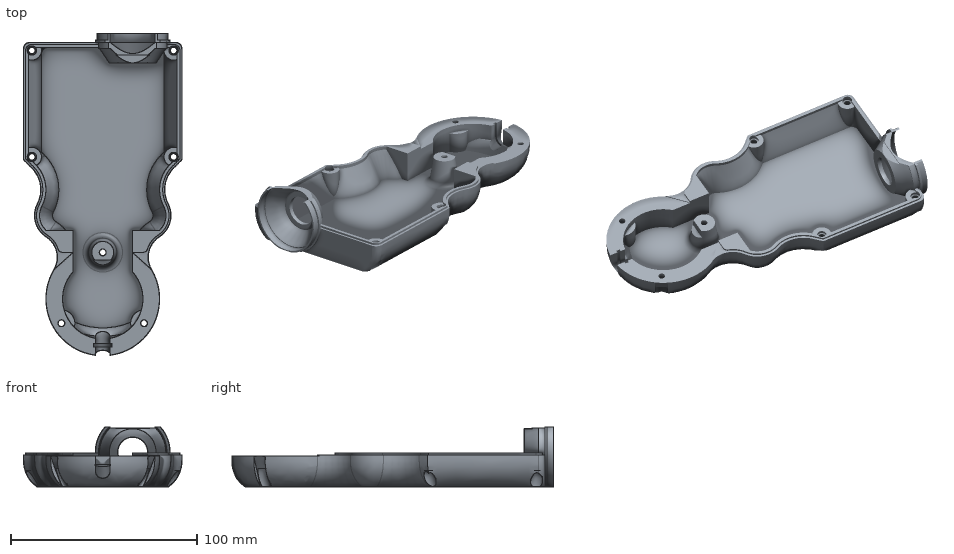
import cadquery as cq
import math

PARTING_Z = 17.2
LIP_HEIGHT = 1.1
LIP_Z = PARTING_Z + LIP_HEIGHT
NOSE_Z = 16.7
FLOOR_Z = 2.0
OVERCUT = 5.0

HALF_WIDTH = 42.6
BACK_Y = 137.9
CORNER_R = 3.5
NOSE_R = 30.6
NECK_R = 13.0
NECK_Y = 22.4
BUMP_R = 13.6
BUMP_X = 23.1
WAIST_R = 16.5
WAIST_X = 49.8

NECK_X = math.sqrt((NOSE_R + NECK_R) ** 2 - NECK_Y ** 2)
BUMP_Y = NECK_Y + math.sqrt((NECK_R + BUMP_R) ** 2 - (NECK_X - BUMP_X) ** 2)
WAIST_Y = BUMP_Y + math.sqrt((BUMP_R + WAIST_R) ** 2 - (WAIST_X - BUMP_X) ** 2)

BASE_INSET = 7.5
CURVE_TOP_Z = 14.0
CURVE_R = (CURVE_TOP_Z ** 2 + BASE_INSET ** 2) / (2 * BASE_INSET)
WALL_STEPS = 4

RIM_WIDTH = 2.75
LIP_SETBACK = 1.1
CAVITY_BASE_INSET = 9.7
CAVITY_BEND_Z = 16.5
CAVITY_FRONT_Y = 36.7
CHANNEL_HALF_WIDTH = 15.9
NOSE_POCKET_R = 21.6
LIP_FRONT_Y = 25.0
LIP_END_R = 2.5
RAMP_R = 39.0
RAMP_FOOT_Y = -15.6
RAMP_RUN = 4.5
RAMP_RISE = 6.0

SCREW_D = 3.5
SCREW_HEAD_D = 6.5
BOX_SCREW_X = 38.1
BOX_SCREW_YS = (76.3, 133.5)
BOX_HEAD_Z = 8.9
BOX_BOSS_R = 5.2
BOX_RECESS_D = 5.0
BOX_RECESS_DEPTH = 1.5
NOSE_SCREW_X = 22.2
NOSE_SCREW_Y = -13.1
NOSE_HEAD_Z = 9.8
NOSE_FLAT_BASE_R = 23.5
NOSE_FLAT_WIDTH = 7.0
NOSE_BOSS_R = 7.2
NOSE_BOSS_Z = 13.0

POST_Y = 25.0
POST_TOP_Z = 16.7
POST_TOP_R = 5.9
POST_BASE_R = 7.6
POST_FOOT_R = 11.0
POST_FOOT_HEIGHT = 3.0
POST_FLAT_Y = 20.9
POST_FLAT_Z = 12.1
POST_FLAT_OUTER_Z = 10.5

SLOT_R = 3.9
SLOT_Z = 8.5
SLOT_GROOVE_R = 5.1
SLOT_GROOVE_YS = (-25.9, -23.9)

SOCKET_X = 16.1
SOCKET_Z = 18.7
SOCKET_BACK_Y = 142.7
SOCKET_FRONT_Y = 126.8
COLLAR_R = 19.1
FLANGE_R = 20.1
FLANGE_THICKNESS = 1.2
SOCKET_NECK_R = 18.4
SOCKET_NECK_FRONT_Y = 134.6
CONE_BACK_R = 17.8
SOCKET_FACE_R = 12.55
BORE_R = 18.2
BOWL_BACK_R = 17.8
BOWL_FRONT_R = 11.0
BOWL_FRONT_Y = 129.2
CABLE_HOLE_R = 8.0
COLLAR_TOP_Z = 32.3
NECK_TOP_Z = 31.8
FACE_TOP_Z = 31.3
FACE_STEP_Y = 131.1


def between(center_a, radius_a, center_b, radius_b):
    """Touching point of two circles that are tangent from outside."""
    share = radius_a / (radius_a + radius_b)
    return tuple(a + (b - a) * share for a, b in zip(center_a, center_b))


def on_circle(center, radius, degrees):
    angle = math.radians(degrees)
    return (center[0] + radius * math.cos(angle), center[1] + radius * math.sin(angle))


def outline(z, inset, back_y):
    """Closed plan outline at height z, its sides moved in by inset and its back at back_y."""
    neck = (NECK_X, NECK_Y)
    bump = (BUMP_X, BUMP_Y)
    waist = (WAIST_X, WAIST_Y)
    nose_r = NOSE_R - inset
    neck_r = NECK_R + inset
    bump_r = BUMP_R - inset
    waist_r = WAIST_R + inset
    side_x = HALF_WIDTH - inset

    nose_end = between((0, 0), nose_r, neck, neck_r)
    bump_start = between(neck, neck_r, bump, bump_r)
    bump_end = between(bump, bump_r, waist, waist_r)
    waist_end = on_circle(waist, waist_r, 135)
    shoulder = (side_x, waist_end[1] + side_x - waist_end[0])
    corner = (side_x - CORNER_R, back_y - CORNER_R)

    right = [
        ("arc", on_circle(neck, neck_r, 180), bump_start),
        ("arc", on_circle(bump, bump_r, 0), bump_end),
        ("arc", on_circle(waist, waist_r, 180), waist_end),
        ("line", None, shoulder),
        ("line", None, (side_x, corner[1])),
        ("arc", on_circle(corner, CORNER_R, 45), (corner[0], back_y)),
    ]

    path = cq.Workplane("XY", origin=(0, 0, z)).moveTo(*nose_end)
    for kind, middle, end in right:
        path = path.threePointArc(middle, end) if kind == "arc" else path.lineTo(*end)
    path = path.lineTo(-corner[0], back_y)
    starts = [nose_end] + [end for _, _, end in right[:-1]]
    for (kind, middle, _), start in zip(reversed(right), reversed(starts)):
        target = (-start[0], start[1])
        if kind == "arc":
            path = path.threePointArc((-middle[0], middle[1]), target)
        else:
            path = path.lineTo(*target)
    return path.threePointArc((0, -nose_r), nose_end).close()


def loft(sections, ruled):
    wires = [section.wire().val() for section in sections]
    return cq.Workplane(cq.Solid.makeLoft(wires, ruled))


def block(x0, x1, y0, y1, z0, z1):
    return cq.Workplane("XY").box(x1 - x0, y1 - y0, z1 - z0, centered=False).translate((x0, y0, z0))


def rod(x, y, radius, z0, z1):
    return cq.Workplane("XY", origin=(x, y, z0)).circle(radius).extrude(z1 - z0)


def rod_along_y(radius, z, y0, y1):
    return cq.Workplane("XZ", origin=(0, y0, z)).circle(radius).extrude(y0 - y1)


BOX_SCREWS = [(side * BOX_SCREW_X, y) for side in (-1, 1) for y in BOX_SCREW_YS]
NOSE_SCREWS = [(side * NOSE_SCREW_X, NOSE_SCREW_Y) for side in (-1, 1)]


def outer_shell():
    """Solid with the curved-in side walls, the lip and the lower nose, before hollowing."""
    sections = []
    for step in range(WALL_STEPS + 1):
        z = CURVE_TOP_Z * step / WALL_STEPS
        inset = CURVE_R - math.sqrt(CURVE_R ** 2 - (CURVE_TOP_Z - z) ** 2)
        sections.append(outline(z, inset, BACK_Y))
    for z in ((CURVE_TOP_Z + PARTING_Z) / 2, PARTING_Z):
        sections.append(outline(z, 0, BACK_Y))
    body = loft(sections, ruled=False)

    lip = outline(PARTING_Z, LIP_SETBACK, BACK_Y - LIP_SETBACK).extrude(LIP_HEIGHT)
    lip = lip.intersect(block(-HALF_WIDTH, HALF_WIDTH, LIP_FRONT_Y, BACK_Y, PARTING_Z, LIP_Z))
    lip = lip.edges("|Z and <Y").fillet(LIP_END_R)
    body = body.union(lip)

    nose_end = between((0, 0), NOSE_R, (NECK_X, NECK_Y), NECK_R)
    nose_top = (
        cq.Workplane("XY", origin=(0, 0, NOSE_Z))
        .polyline([
            (0, LIP_FRONT_Y),
            (CHANNEL_HALF_WIDTH, LIP_FRONT_Y),
            nose_end,
            (HALF_WIDTH, nose_end[1]),
            (HALF_WIDTH, -HALF_WIDTH),
            (0, -HALF_WIDTH),
        ])
        .close()
        .extrude(OVERCUT)
    )
    return body.cut(nose_top).cut(nose_top.mirror("YZ"))


def box_cavity():
    """Room under the box and bump, sloping inwards to the floor, with the bosses left standing."""
    back_y = BACK_Y - RIM_WIDTH
    sections = [outline(FLOOR_Z, CAVITY_BASE_INSET, back_y), outline(CAVITY_BEND_Z, RIM_WIDTH, back_y)]
    room = loft(sections, ruled=True)
    room = room.union(outline(CAVITY_BEND_Z, RIM_WIDTH, back_y).extrude(OVERCUT))
    room = room.intersect(block(-HALF_WIDTH, HALF_WIDTH, CAVITY_FRONT_Y, BACK_Y, 0, LIP_Z + OVERCUT))
    for x, y in BOX_SCREWS:
        room = room.cut(rod(x, y, BOX_BOSS_R, 0, PARTING_Z))
    return room


def nose_cavity():
    """Channel and round pocket in the nose, with the screw bosses and front ramp left standing."""
    top_z = LIP_Z + OVERCUT
    channel = block(-CHANNEL_HALF_WIDTH, CHANNEL_HALF_WIDTH, 0, CAVITY_FRONT_Y + OVERCUT, FLOOR_Z, top_z)
    pocket = rod(0, 0, NOSE_POCKET_R, FLOOR_Z, top_z)
    for x, y in NOSE_SCREWS:
        pocket = pocket.cut(rod(x, y, NOSE_BOSS_R, FLOOR_Z, NOSE_BOSS_Z))

    clearance = cq.Workplane(
        cq.Solid.makeCone(
            RAMP_R, RAMP_R + RAMP_RUN, RAMP_RISE, pnt=cq.Vector(0, RAMP_FOOT_Y + RAMP_R, FLOOR_Z)
        )
    )
    lower = block(-HALF_WIDTH, HALF_WIDTH, -HALF_WIDTH, HALF_WIDTH, FLOOR_Z, FLOOR_Z + RAMP_RISE)
    pocket = pocket.cut(lower.cut(clearance))
    return channel.union(pocket)


def post():
    """Tapered screw post with a flared foot and a flat notch towards the nose."""
    foot_z = FLOOR_Z + POST_FOOT_HEIGHT
    foot_bend = 1 - math.sqrt(0.5)
    bend = (
        POST_BASE_R + foot_bend * (POST_FOOT_R - POST_BASE_R),
        FLOOR_Z + foot_bend * POST_FOOT_HEIGHT,
    )
    body = (
        cq.Workplane("XZ")
        .lineTo(POST_FOOT_R, 0)
        .lineTo(POST_FOOT_R, FLOOR_Z)
        .threePointArc(bend, (POST_BASE_R, foot_z))
        .lineTo(POST_TOP_R, POST_TOP_Z)
        .lineTo(0, POST_TOP_Z)
        .close()
        .revolve(360, (0, 0, 0), (0, 1, 0))
        .translate((0, POST_Y, 0))
    )
    notch_front_y = POST_Y - POST_BASE_R
    notch = (
        cq.Workplane("YZ", origin=(-POST_BASE_R, 0, 0))
        .polyline([
            (POST_FLAT_Y, POST_TOP_Z),
            (POST_FLAT_Y, POST_FLAT_Z),
            (notch_front_y, POST_FLAT_OUTER_Z),
            (notch_front_y, POST_TOP_Z),
        ])
        .close()
        .extrude(2 * POST_BASE_R)
    )
    return body.cut(notch)


def cable_slot():
    """U-shaped slot through the front of the nose, with a wider groove around it."""
    front_y = -NOSE_R - OVERCUT
    back_y = -NOSE_POCKET_R + OVERCUT
    top_z = LIP_Z + OVERCUT
    slot = rod_along_y(SLOT_R, SLOT_Z, front_y, back_y)
    slot = slot.union(block(-SLOT_R, SLOT_R, front_y, back_y, SLOT_Z, top_z))
    groove = rod_along_y(SLOT_GROOVE_R, SLOT_Z, *SLOT_GROOVE_YS)
    groove = groove.union(block(-SLOT_GROOVE_R, SLOT_GROOVE_R, *SLOT_GROOVE_YS, SLOT_Z, top_z))
    return slot.union(groove)


def socket_revolve(profile):
    """Revolve (radius, y) points about the socket axis."""
    return (
        cq.Workplane("XY")
        .polyline(profile)
        .close()
        .revolve(360, (0, 0, 0), (0, 1, 0))
        .translate((SOCKET_X, 0, SOCKET_Z))
    )


def socket_envelope():
    """The socket as a full solid of revolution."""
    return socket_revolve([
        (0, SOCKET_BACK_Y),
        (COLLAR_R, SOCKET_BACK_Y),
        (COLLAR_R, BACK_Y + FLANGE_THICKNESS),
        (FLANGE_R, BACK_Y + FLANGE_THICKNESS),
        (FLANGE_R, BACK_Y),
        (SOCKET_NECK_R, BACK_Y),
        (SOCKET_NECK_R, SOCKET_NECK_FRONT_Y),
        (CONE_BACK_R, SOCKET_NECK_FRONT_Y),
        (SOCKET_FACE_R, SOCKET_FRONT_Y),
        (0, SOCKET_FRONT_Y),
    ])


def nose_side_flat(x, y):
    """Tool for the sloping flat on the side of the nose, outboard of a screw."""
    tool = (
        cq.Workplane("XZ", origin=(0, NOSE_FLAT_WIDTH / 2, 0))
        .polyline([
            (NOSE_FLAT_BASE_R, 0),
            (NOSE_R, NOSE_Z),
            (NOSE_R + OVERCUT, NOSE_Z),
            (NOSE_R + OVERCUT, 0),
        ])
        .close()
        .extrude(NOSE_FLAT_WIDTH)
    )
    return tool.rotate((0, 0, 0), (0, 0, 1), math.degrees(math.atan2(y, x)))


def make_housing():
    body = outer_shell().cut(box_cavity()).cut(nose_cavity())
    body = body.union(post()).cut(cable_slot())
    for x, y in BOX_SCREWS:
        body = body.cut(rod(x, y, SCREW_D / 2, -OVERCUT, LIP_Z + OVERCUT))
        body = body.cut(rod(x, y, SCREW_HEAD_D / 2, -OVERCUT, BOX_HEAD_Z))
        body = body.cut(rod(x, y, BOX_RECESS_D / 2, PARTING_Z - BOX_RECESS_DEPTH, LIP_Z + OVERCUT))
    for x, y in NOSE_SCREWS:
        body = body.cut(rod(x, y, SCREW_D / 2, -OVERCUT, LIP_Z + OVERCUT))
        body = body.cut(rod(x, y, SCREW_HEAD_D / 2, -OVERCUT, NOSE_HEAD_Z))
        body = body.cut(nose_side_flat(x, y))
    body = body.cut(rod(0, POST_Y, SCREW_D / 2, -OVERCUT, POST_TOP_Z + OVERCUT))
    return body.cut(socket_envelope())


def make_socket():
    """Bowl-shaped cable socket held in the back wall, flat underneath and open on top."""
    bowl = socket_revolve([
        (0, SOCKET_BACK_Y),
        (BORE_R, SOCKET_BACK_Y),
        (BORE_R, BACK_Y),
        (BOWL_BACK_R, BACK_Y),
        (BOWL_FRONT_R, BOWL_FRONT_Y),
        (CABLE_HOLE_R, BOWL_FRONT_Y),
        (CABLE_HOLE_R, SOCKET_FRONT_Y),
        (0, SOCKET_FRONT_Y),
    ])
    left = SOCKET_X - FLANGE_R
    right = SOCKET_X + FLANGE_R
    keep = block(left, right, BACK_Y, SOCKET_BACK_Y, 0, COLLAR_TOP_Z)
    keep = keep.union(block(left, right, FACE_STEP_Y, BACK_Y, 0, NECK_TOP_Z))
    keep = keep.union(block(left, right, SOCKET_FRONT_Y, FACE_STEP_Y, 0, FACE_TOP_Z))
    return socket_envelope().cut(bowl).intersect(keep)


housing = make_housing()
socket = make_socket()
result = cq.Compound.makeCompound([housing.val(), socket.val()])